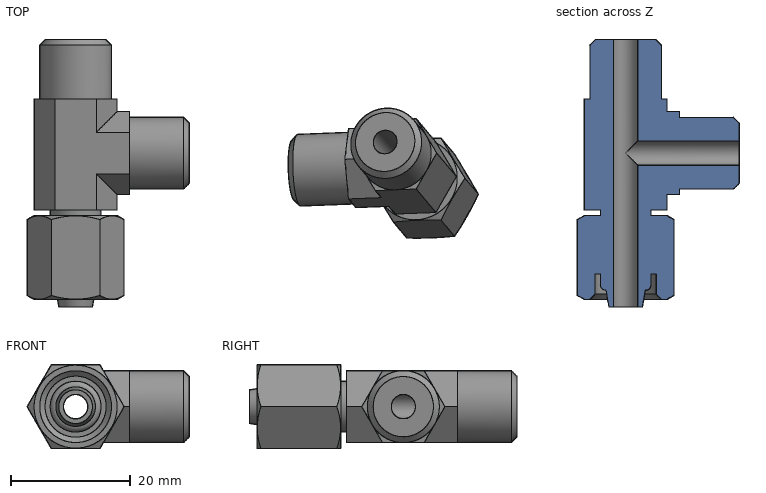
import cadquery as cq
import math

run_direction = (0, 1, 0)
branch_direction = (1, 0, 0)

port_reach = 18.98
port_diameter = 12.0
port_chamfer = 1.0
bore_diameter = 4.0

body_flats = 12.0
body_port_side = 9.0
body_nut_side = 9.5

nut_flats = 14.0
nut_length = 14.0
nut_gap = 0.9
nut_chamfer_angle = 30
nut_face_radius = 6.9
nut_bore_radius = 5.1
nut_mouth_radius = 6.0
nut_mouth_depth = nut_mouth_radius - nut_bore_radius
nut_bore_depth = 4.25
nut_back = body_nut_side + nut_gap
nut_front = nut_back + nut_length

spigot_radius = 4.25
nose_tip = 25.67
nose_tip_radius = 2.8
nose_root_radius = 3.3
nose_length = 2.75
shoulder_radius = spigot_radius - nose_root_radius


def along_run(start):
    """Plane across the run at distance start on the nut side, facing the nut."""
    return cq.Workplane(cq.Plane((0, -start, 0), (1, 0, 0), (0, -1, 0)))


def along_port(direction, start):
    """Plane across a port, with its x axis in the XY plane."""
    origin = tuple(start * part for part in direction)
    in_plane = (direction[1], -direction[0], 0)
    return cq.Workplane(cq.Plane(origin, in_plane, direction))


def hexagonal_bar(plane, flats, length):
    """Hexagonal bar with two corners on the plane's x axis."""
    corner_diameter = 2 * flats / math.sqrt(3)
    return plane.polygon(6, corner_diameter).extrude(length)


def make_port(direction):
    """Chamfered cylinder running from the centre to the port face."""
    cylinder = along_port(direction, 0).circle(port_diameter / 2).extrude(port_reach)
    end_face = cq.selectors.DirectionMinMaxSelector(cq.Vector(direction))
    return cylinder.faces(end_face).chamfer(port_chamfer)


def make_body():
    run_length = body_nut_side + body_port_side
    run = hexagonal_bar(along_run(-body_port_side), body_flats, run_length)
    branch = hexagonal_bar(along_port(branch_direction, 0), body_flats, body_port_side)
    return run.union(branch)


def revolve_about_run(outline):
    """Turn a closed (radius, y) outline about the Y axis."""
    return outline.close().revolve(360, (0, 0, 0), (0, 1, 0))


def make_nut():
    nut = hexagonal_bar(along_run(nut_back), nut_flats, nut_length)

    corner_radius = nut_flats / math.sqrt(3)
    chamfer_depth = (corner_radius - nut_face_radius) * math.tan(math.radians(nut_chamfer_angle))
    envelope = revolve_about_run(
        cq.Workplane("XY")
        .moveTo(0, -nut_back)
        .lineTo(nut_face_radius, -nut_back)
        .lineTo(corner_radius, -nut_back - chamfer_depth)
        .lineTo(corner_radius, -nut_front + chamfer_depth)
        .lineTo(nut_face_radius, -nut_front)
        .lineTo(0, -nut_front)
    )

    cavity = revolve_about_run(
        cq.Workplane("XY")
        .moveTo(0, -nut_front)
        .lineTo(nut_mouth_radius, -nut_front)
        .lineTo(nut_bore_radius, -nut_front + nut_mouth_depth)
        .lineTo(nut_bore_radius, -nut_front + nut_bore_depth)
        .lineTo(0, -nut_front + nut_bore_depth)
    )
    return nut.intersect(envelope).cut(cavity)


def make_spigot():
    nose_root = nose_tip - nose_length
    arc_reach = shoulder_radius * math.sqrt(0.5)
    arc_middle = (nose_root_radius + arc_reach, -nose_root + shoulder_radius - arc_reach)
    return revolve_about_run(
        cq.Workplane("XY")
        .lineTo(spigot_radius, 0)
        .lineTo(spigot_radius, -nose_root + shoulder_radius)
        .threePointArc(arc_middle, (nose_root_radius, -nose_root))
        .lineTo(nose_tip_radius, -nose_tip)
        .lineTo(0, -nose_tip)
    )


run_bore = along_run(-port_reach).circle(bore_diameter / 2).extrude(port_reach + nose_tip)
branch_bore = along_port(branch_direction, 0).circle(bore_diameter / 2).extrude(port_reach)

result = make_body()
for port_direction in (run_direction, branch_direction):
    result = result.union(make_port(port_direction))
result = result.union(make_nut()).union(make_spigot()).cut(run_bore).cut(branch_bore)